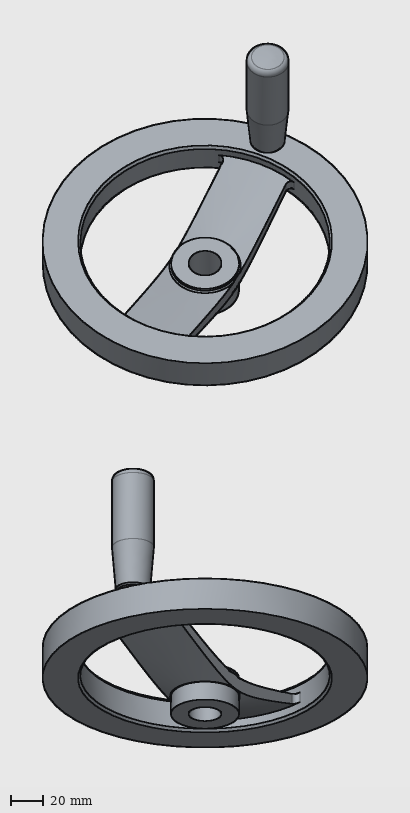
import cadquery as cq
import math

rim_radius = 200.0 / 2
rim_height = 20.8
rim_bore_radius = 76.8
rim_bevel_width = 1.5
rim_bevel_height = 1.8

hub_radius = 21.0
hub_bottom = -24.4
hub_top = 0.0
bore_radius = 10.0

web_half_width = 21.5
web_bottom = -12.3
web_bottom_angle = 19.5
web_top = -3.0
web_top_angle = 17
web_corner_radius = 3.0
web_end_radius = rim_bore_radius + web_corner_radius
collar_radius = 22.2
collar_height = 1.2

handle_y = 88.5
grip_radius = 26.0 / 2
grip_foot_radius = 10.7
grip_foot_chamfer = 1.0
spindle_radius = 6.5
spindle_height = 2.5
taper_top = rim_height + 32.2
shoulder_base = rim_height + 77.2
shoulder_top_radius = 10.0
shoulder_top = rim_height + 81.0
handle_top = 103.2


def make_rim():
    """Ring with a bevel around both edges of its opening."""
    return (
        cq.Workplane("XZ")
        .moveTo(rim_bore_radius, rim_bevel_height)
        .lineTo(rim_bore_radius + rim_bevel_width, 0)
        .lineTo(rim_radius, 0)
        .lineTo(rim_radius, rim_height)
        .lineTo(rim_bore_radius + rim_bevel_width, rim_height)
        .lineTo(rim_bore_radius, rim_height - rim_bevel_height)
        .close()
        .revolve(360, (0, 0), (0, 1))
    )


def make_web_outline():
    """Vertical prism with the web's plan shape, flared by round corners at the rim."""
    corner_x = web_half_width + web_corner_radius
    corner_y = math.sqrt((rim_bore_radius - web_corner_radius) ** 2 - corner_x**2)
    touch_scale = rim_bore_radius / (rim_bore_radius - web_corner_radius)
    flare_height = rim_height - hub_bottom
    bar = cq.Workplane("XY", origin=(0, 0, hub_bottom)).rect(2 * web_half_width, 2 * web_end_radius)
    outline = bar.extrude(flare_height)
    for side_x in (-1, 1):
        for side_y in (-1, 1):
            flare_start = (side_x * web_half_width, side_y * corner_y)
            arc_side = -side_x * side_y
            flare = (
                cq.Workplane("XY", origin=(0, 0, hub_bottom))
                .moveTo(*flare_start)
                .lineTo(side_x * web_half_width, side_y * web_end_radius)
                .lineTo(side_x * corner_x * touch_scale, side_y * web_end_radius)
                .lineTo(side_x * corner_x * touch_scale, side_y * corner_y * touch_scale)
                .radiusArc(flare_start, arc_side * web_corner_radius)
                .close()
                .extrude(flare_height)
            )
            outline = outline.union(flare)
    return outline


def make_web():
    """Dish with conical faces, cut down to the web's plan shape."""
    run = web_end_radius - web_half_width
    bottom_rise = run * math.tan(math.radians(web_bottom_angle))
    top_rise = run * math.tan(math.radians(web_top_angle))
    dish = (
        cq.Workplane("XZ")
        .moveTo(0, web_bottom)
        .lineTo(web_half_width, web_bottom)
        .lineTo(web_end_radius, web_bottom + bottom_rise)
        .lineTo(web_end_radius, web_top + top_rise)
        .lineTo(web_half_width, web_top)
        .lineTo(0, web_top)
        .close()
        .revolve(360, (0, 0), (0, 1))
    )
    return dish.intersect(make_web_outline())


def make_hub():
    """Hub cylinder with a sloping collar where it leaves the web."""
    collar_top = web_top + collar_height
    body = (
        cq.Workplane("XZ")
        .moveTo(0, hub_bottom)
        .lineTo(hub_radius, hub_bottom)
        .lineTo(hub_radius, web_top)
        .lineTo(collar_radius, web_top)
        .lineTo(hub_radius, collar_top)
        .lineTo(hub_radius, hub_top)
        .lineTo(0, hub_top)
        .close()
        .revolve(360, (0, 0), (0, 1))
    )
    sides = cq.Workplane("XY").box(2 * web_half_width, 2 * collar_radius, 4 * rim_height)
    return body.intersect(sides)


def make_handle():
    """Grip with a tapered foot, a rounded shoulder and a shallow domed end."""
    grip_bottom = rim_height + spindle_height
    profile = (
        cq.Workplane("XZ", origin=(0, handle_y, 0))
        .moveTo(0, rim_height / 2)
        .lineTo(spindle_radius, rim_height / 2)
        .lineTo(spindle_radius, grip_bottom)
        .lineTo(grip_foot_radius - grip_foot_chamfer, grip_bottom)
        .lineTo(grip_foot_radius, grip_bottom + grip_foot_chamfer)
        .lineTo(grip_radius, taper_top)
        .lineTo(grip_radius, shoulder_base)
        .tangentArcPoint((shoulder_top_radius, shoulder_top), relative=False)
    )
    dome_rise = handle_top - shoulder_top
    dome_radius = (shoulder_top_radius**2 + dome_rise**2) / (2 * dome_rise)
    return (
        profile.radiusArc((0, handle_top), -dome_radius)
        .close()
        .revolve(360, (0, 0), (0, 1))
    )


wheel = make_rim().union(make_web()).union(make_hub())
bore = cq.Workplane("XY", origin=(0, 0, hub_bottom)).circle(bore_radius).extrude(hub_top - hub_bottom)
result = wheel.cut(bore).union(make_handle())